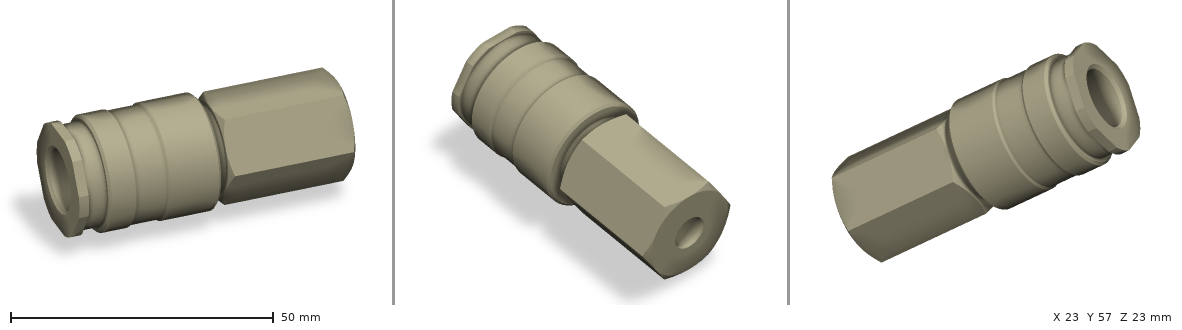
import cadquery as cq
import math

flange_end = 2.0
front_neck_end = 6.0
ring_end = 11.95
waist_end = 18.0
collar_end = 29.0
hex_start = 31.0
total_length = 57.0

flange_diameter = 22.3
flange_across_flats = 21.2
front_neck_diameter = 20.6
sleeve_diameter = 23.0
waist_diameter = 22.3
back_neck_diameter = 17.15
hex_across_flats = 19.05

sleeve_bevel = 0.5
hex_bevel_angle = 30.0

socket_diameter = 12.0
socket_depth = 19.95
socket_mouth_diameter = 13.4
through_diameter = 7.1


def cylinder(diameter, start, end):
    """Solid cylinder along +Y between two stations."""
    return cq.Workplane("XZ", origin=(0, start, 0)).circle(diameter / 2).extrude(start - end)


def hexagon(across_flats, start, end):
    """Hexagonal bar along +Y with corners at +X and -X."""
    across_corners = across_flats / math.cos(math.radians(30))
    return cq.Workplane("XZ", origin=(0, start, 0)).polygon(6, across_corners).extrude(start - end)


def revolve_profile(points):
    """Revolve a closed (radius, station) outline about the Y axis."""
    return cq.Workplane("XY").polyline(points).close().revolve(360, (0, 0, 0), (0, 1, 0))


def make_flange():
    disc = cylinder(flange_diameter, 0, flange_end)
    return disc.intersect(hexagon(flange_across_flats, 0, flange_end))


def make_sleeve():
    outer = sleeve_diameter / 2
    waist = waist_diameter / 2
    return revolve_profile([
        (0, front_neck_end),
        (outer - sleeve_bevel, front_neck_end),
        (outer, front_neck_end + sleeve_bevel),
        (outer, ring_end - sleeve_bevel),
        (waist, ring_end),
        (waist, waist_end),
        (outer, waist_end + sleeve_bevel),
        (outer, collar_end - sleeve_bevel),
        (outer - sleeve_bevel, collar_end),
        (0, collar_end),
    ])


def make_hex_body():
    end_radius = hex_across_flats / 2
    corner_radius = end_radius / math.cos(math.radians(30))
    bevel_length = (corner_radius - end_radius) * math.tan(math.radians(hex_bevel_angle))
    envelope = revolve_profile([
        (0, hex_start),
        (end_radius, hex_start),
        (corner_radius, hex_start + bevel_length),
        (corner_radius, total_length - bevel_length),
        (end_radius, total_length),
        (0, total_length),
    ])
    return hexagon(hex_across_flats, hex_start, total_length).intersect(envelope)


def make_bore():
    socket_radius = socket_diameter / 2
    mouth_radius = socket_mouth_diameter / 2
    through_radius = through_diameter / 2
    mouth_depth = mouth_radius - socket_radius
    return revolve_profile([
        (0, 0),
        (mouth_radius, 0),
        (socket_radius, mouth_depth),
        (socket_radius, socket_depth),
        (through_radius, socket_depth),
        (through_radius, total_length),
        (0, total_length),
    ])


result = (
    make_flange()
    .union(cylinder(front_neck_diameter, flange_end, front_neck_end))
    .union(make_sleeve())
    .union(cylinder(back_neck_diameter, collar_end, hex_start))
    .union(make_hex_body())
    .cut(make_bore())
)